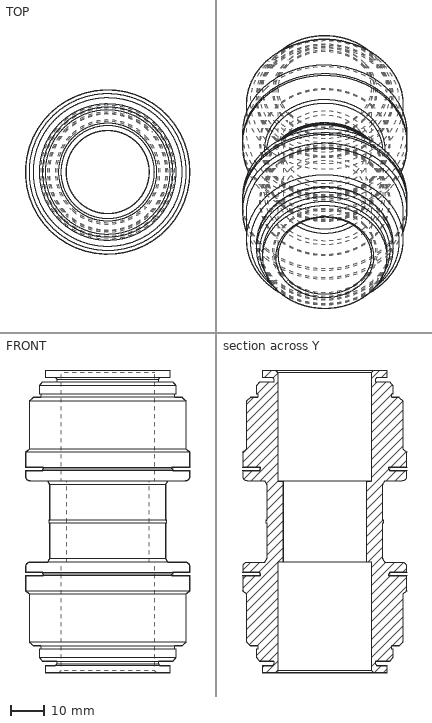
import cadquery as cq
import math

half_length = 45.5

through_bore_d = 24.9
socket_bore_d = 28.0
socket_mouth_d = 29.5
mouth_chamfer_height = 0.7

shaft_d = 34.9
seam_d = 35.4
seam_half_width = 0.5
shaft_flare_d = 36.2
shaft_flare_height = 1.1

flange_d = 49.5
flange_bottom = 12.2
flange_top = 15.3
flange_round = 1.5
groove_d = 38.7
groove_width = 1.0
groove_ledge_d = 39.2
groove_ledge_height = 0.55

skirt_bottom = flange_top + groove_width
skirt_top = 20.9
body_d = 47.2
body_bottom = 21.75
body_top = 37.4
body_rim_d = 44.8
body_chamfer_height = 1.2

seat_d = 40.3
collar_d = 41.1
collar_bottom = 38.3
collar_top = 42.0
collar_rim_d = 39.2
collar_chamfer_height = 1.1

neck_d = 30.6
neck_wide_d = 31.5
neck_taper_height = 0.55
disc_d = 37.5
disc_thickness = 2.2

shoulder_height = flange_bottom
disc_bottom = half_length - disc_thickness
round_inset = flange_round * (1 - math.sqrt(0.5))


def half_profile():
    """Radial section of the upper half, traced up the outside and down the bore."""
    flange_r = flange_d / 2
    profile = (
        cq.Workplane("XZ")
        .moveTo(through_bore_d / 2, 0)
        .lineTo(seam_d / 2, 0)
        .lineTo(seam_d / 2, seam_half_width)
        .lineTo(shaft_d / 2, seam_half_width)
        .lineTo(shaft_d / 2, flange_bottom - shaft_flare_height)
        .lineTo(shaft_flare_d / 2, flange_bottom)
        .lineTo(flange_r - flange_round, flange_bottom)
        .threePointArc(
            (flange_r - round_inset, flange_bottom + round_inset),
            (flange_r, flange_bottom + flange_round),
        )
    )
    upper_points = [
        (flange_d, flange_top),
        (groove_ledge_d, flange_top),
        (groove_ledge_d, flange_top + groove_ledge_height),
        (groove_d, flange_top + groove_ledge_height),
        (groove_d, skirt_bottom),
        (flange_d, skirt_bottom),
        (flange_d, skirt_top),
        (body_d, body_bottom),
        (body_d, body_top - body_chamfer_height),
        (body_rim_d, body_top),
        (seat_d, body_top),
        (seat_d, collar_bottom),
        (collar_d, collar_bottom),
        (collar_d, collar_top - collar_chamfer_height),
        (collar_rim_d, collar_top),
        (neck_d, collar_top),
        (neck_d, disc_bottom - neck_taper_height),
        (neck_wide_d, disc_bottom),
        (disc_d, disc_bottom),
        (disc_d, half_length),
        (socket_mouth_d, half_length),
        (socket_bore_d, half_length - mouth_chamfer_height),
        (socket_bore_d, shoulder_height),
        (through_bore_d, shoulder_height),
    ]
    for diameter, height in upper_points:
        profile = profile.lineTo(diameter / 2, height)
    return profile.close()


upper_half = half_profile().revolve(360, (0, 0, 0), (0, 1, 0))
lower_half = upper_half.mirror("XY")
result = upper_half.union(lower_half, clean=True)